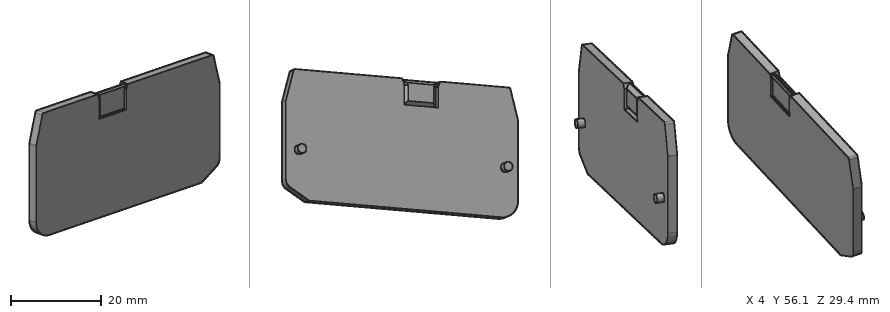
import cadquery as cq
import math

length = 56.1
height = 29.4
thickness = 2.25
half_length = length / 2

shoulder_height = 7.25
shoulder_width = shoulder_height * math.tan(math.radians(15))
shoulder_radius = 0.5
bevel_width = 5.55
bevel_height = bevel_width * math.tan(math.radians(30))
bevel_radius = 2.0
corner_radius = 4.0

pin_diameter = 2.1
pin_length = 1.75
pin_offset = 24.9
pin_height = 11.2

recess_center = -4.65
recess_width = 8.2
recess_depth = 5.95
flare_width = 0.5
flare_height = 1.2
web_thickness = 0.3
front_floor = 1.4
front_pad_rise = 1.1
front_pad_inset = 1.0
front_pad_top_inset = 0.85
rear_floor = front_floor + web_thickness
rear_pad_rise = 0.4
rear_pad_inset = 0.4


def make_plate():
    """Plate with sloped shoulders, one bevelled and one round lower corner."""
    shoulder_z = height - shoulder_height
    top_half_length = half_length - shoulder_width
    plate = (
        cq.Workplane("YZ")
        .moveTo(-half_length, 0)
        .lineTo(half_length - bevel_width, 0)
        .lineTo(half_length, bevel_height)
        .lineTo(half_length, shoulder_z)
        .lineTo(top_half_length, height)
        .lineTo(-top_half_length, height)
        .lineTo(-half_length, shoulder_z)
        .close()
        .extrude(thickness)
    )

    def round_corner(body, y, z, radius):
        edge = cq.selectors.NearestToPointSelector((thickness / 2, y, z))
        return body.edges("|X").edges(edge).fillet(radius)

    for side in (-1, 1):
        plate = round_corner(plate, side * top_half_length, height, shoulder_radius)
        plate = round_corner(plate, side * half_length, shoulder_z, shoulder_radius)
    plate = round_corner(plate, half_length, bevel_height, bevel_radius)
    return round_corner(plate, -half_length, 0, corner_radius)


def recess_outline(x, inset=0.0, top_inset=0.0):
    """Closed recess outline at the given X, flared towards its top edge."""
    side = recess_width / 2 - inset
    top = height - top_inset
    flare_slope = flare_width / flare_height
    flare_length = math.hypot(flare_width, flare_height)
    flare_drop = inset * (flare_length - flare_height) / flare_width
    flare_bottom = height - flare_height - flare_drop
    top_side = side + flare_slope * (top - flare_bottom)
    bottom = height - recess_depth + inset
    right_points = [(top_side, top), (side, flare_bottom), (side, bottom)]
    left_points = [(-y, z) for y, z in reversed(right_points)]
    points = [(recess_center + y, z) for y, z in right_points + left_points]
    return cq.Wire.makePolygon([cq.Vector(x, y, z) for y, z in points], close=True)


def make_recess(floor_x, surface_x):
    """Straight-sided recess between its floor and the plate face."""
    face = cq.Face.makeFromWires(recess_outline(floor_x))
    return cq.Solid.extrudeLinear(face, cq.Vector(surface_x - floor_x, 0, 0))


def make_pad(floor_x, face_x, inset, top_inset):
    """Bevelled pad that fills the recess floor and narrows to its face."""
    base = recess_outline(floor_x)
    face = recess_outline(face_x, inset, top_inset)
    return cq.Solid.makeLoft([base, face], True)


plate = make_plate()
plate = plate.cut(cq.Workplane(make_recess(front_floor, 0)))
plate = plate.cut(cq.Workplane(make_recess(rear_floor, thickness)))

front_pad = make_pad(
    front_floor, front_floor - front_pad_rise, front_pad_inset, front_pad_top_inset
)
rear_pad = make_pad(rear_floor, rear_floor + rear_pad_rise, rear_pad_inset, rear_pad_inset)

pins = (
    cq.Workplane("YZ")
    .pushPoints([(-pin_offset, pin_height), (pin_offset, pin_height)])
    .circle(pin_diameter / 2)
    .extrude(-pin_length)
)

result = plate.union(cq.Workplane(front_pad)).union(cq.Workplane(rear_pad)).union(pins)